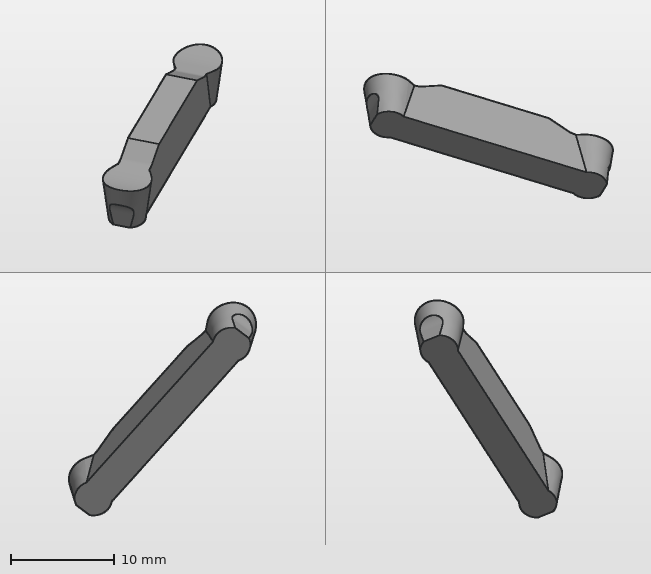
import cadquery as cq
import math

LENGTH = 25.95
HEIGHT = 5.79
BODY_WIDTH = 3.2

HEAD_WIDTH = 4.75
DRAFT = math.radians(7)
SEAT_HEIGHT = 4.52
TIP_HEIGHT = 4.83
FLANK_ANGLE = math.radians(30)

DISH_END = 3.32
BLEND_START = 4.8
RAMP_START = 5.2
RAMP_END = 7.3
RAMP_ANGLE = math.radians(25)

RELIEF_DEPTH = 0.8
RELIEF_FLAT_HEIGHT = 1.63
RELIEF_RADIUS = 1.6
RELIEF_SWEEP = math.radians(52)


def head_radius(z):
    """Radius of the conical head at height z."""
    return HEAD_WIDTH / 2 + (z - SEAT_HEIGHT) * math.tan(DRAFT)


half_length = LENGTH / 2
head_center = head_radius(TIP_HEIGHT) - half_length


def neck_section(z):
    """Kite whose two long sides are tangent to the head at height z."""
    radius = head_radius(z)
    contact_x = radius * math.cos(FLANK_ANGLE)
    contact_y = head_center + radius * math.sin(FLANK_ANGLE)
    apex_y = head_center + radius / math.sin(FLANK_ANGLE)
    points = [(0, head_center), (contact_x, contact_y), (0, apex_y), (-contact_x, contact_y)]
    return cq.Wire.makePolygon([cq.Vector(x, y, z) for x, y in points], close=True)


def make_head():
    """Conical head with its tangent neck, at the -Y end."""
    cone = cq.Solid.makeCone(
        head_radius(0), head_radius(HEIGHT), HEIGHT, pnt=cq.Vector(0, head_center, 0)
    )
    neck = cq.Solid.makeLoft([neck_section(0), neck_section(HEIGHT)], True)
    return cq.Workplane(cone).union(cq.Workplane(neck))


def make_side_envelope():
    """Side outline of the -Y half, extruded wider than the heads."""
    dish_rise = TIP_HEIGHT - SEAT_HEIGHT
    dish_run = head_center + half_length
    dish_radius = (dish_run**2 + dish_rise**2) / (2 * dish_rise)
    dish_end_y = DISH_END - half_length
    dish_angle = math.asin((dish_end_y - head_center) / dish_radius)
    dish_end_z = SEAT_HEIGHT + dish_radius * (1 - math.cos(dish_angle))
    blend_z = dish_end_z + (BLEND_START - DISH_END) * math.tan(dish_angle)
    ramp_z = HEIGHT - (RAMP_END - RAMP_START) * math.tan(RAMP_ANGLE)

    flat_y = RELIEF_DEPTH - half_length
    curve_end_y = flat_y - RELIEF_RADIUS * (1 - math.cos(RELIEF_SWEEP))
    curve_end_z = RELIEF_FLAT_HEIGHT + RELIEF_RADIUS * math.sin(RELIEF_SWEEP)

    return (
        cq.Workplane("YZ")
        .moveTo(0, 0)
        .lineTo(flat_y, 0)
        .lineTo(flat_y, RELIEF_FLAT_HEIGHT)
        .tangentArcPoint((curve_end_y, curve_end_z), relative=False)
        .lineTo(-half_length, curve_end_z)
        .lineTo(-half_length, TIP_HEIGHT)
        .threePointArc((head_center, SEAT_HEIGHT), (dish_end_y, dish_end_z))
        .lineTo(BLEND_START - half_length, blend_z)
        .tangentArcPoint((RAMP_START - half_length, ramp_z), relative=False)
        .lineTo(RAMP_END - half_length, HEIGHT)
        .lineTo(0, HEIGHT)
        .close()
        .extrude(HEAD_WIDTH, both=True)
    )


body = cq.Workplane("XY").box(BODY_WIDTH, -head_center, HEIGHT, centered=(True, False, False))
body = body.translate((0, head_center, 0))

half = make_head().union(body).intersect(make_side_envelope())
result = half.union(half.mirror("XZ"))